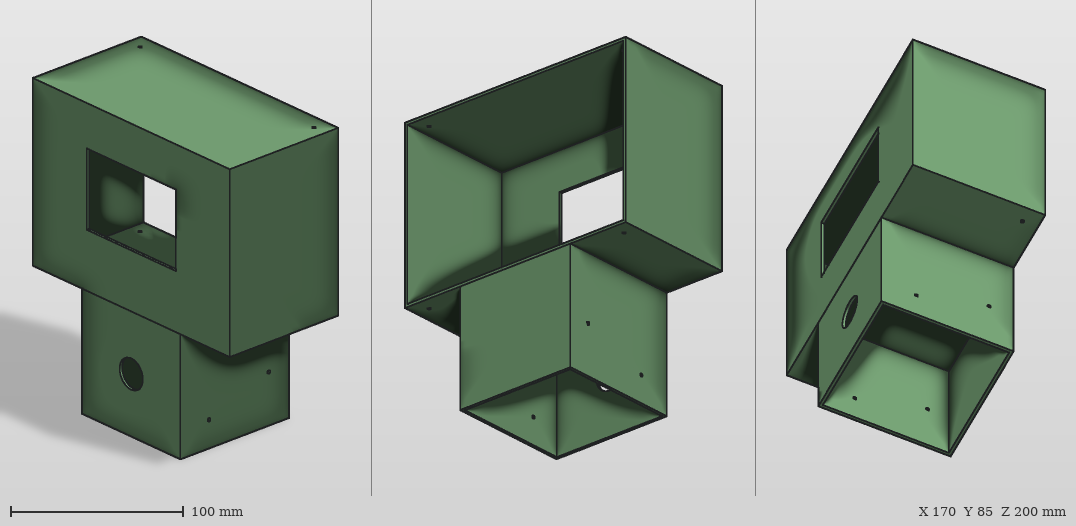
import cadquery as cq

wall = 2.0
screw_hole_diameter = 2.0
depth = 85.0

base_width = 85.0
base_height = 80.0
port_diameter = 20.0
port_height = base_height / 2
base_screw_places = [(26.75, 34.25), (-20.0, 18.25)]

housing_width = 170.0
housing_height = 120.0
window_width = 77.0
window_height = 52.0
window_sill = 39.0
screw_edge_distance = 10.0


def make_base():
    """Box with closed walls and top, a round front port and side screw holes."""
    outside = cq.Workplane("XY").box(base_width, depth, base_height, centered=(True, True, False))
    cavity = cq.Workplane("XY").box(
        base_width - 2 * wall, depth - 2 * wall, base_height - wall, centered=(True, True, False)
    )
    port = (
        cq.Workplane("XZ", origin=(0, -depth / 2 + wall, port_height))
        .circle(port_diameter / 2)
        .extrude(wall)
    )
    screw_holes = (
        cq.Workplane("YZ")
        .pushPoints(base_screw_places)
        .circle(screw_hole_diameter / 2)
        .extrude(base_width / 2, both=True)
    )
    return outside.cut(cavity).cut(port).cut(screw_holes)


def make_housing():
    """Box with an open back, a front window and screw holes through its roof and floor."""
    outside = cq.Workplane("XY").box(housing_width, depth, housing_height, centered=(True, True, False))
    cavity = (
        cq.Workplane("XY")
        .box(housing_width - 2 * wall, depth - wall, housing_height - 2 * wall, centered=(True, True, False))
        .translate((0, wall / 2, wall))
    )
    window = (
        cq.Workplane("XY")
        .box(window_width, wall, window_height, centered=(True, False, False))
        .translate((0, -depth / 2, window_sill))
    )
    screw_x = housing_width / 2 - screw_edge_distance
    screw_y = depth / 2 - screw_edge_distance
    screw_holes = (
        cq.Workplane("XY")
        .pushPoints([(-screw_x, screw_y), (screw_x, screw_y)])
        .circle(screw_hole_diameter / 2)
        .extrude(housing_height)
    )
    return outside.cut(cavity).cut(window).cut(screw_holes)


base = make_base()
housing = make_housing().translate((0, 0, base_height))

result = cq.Compound.makeCompound([base.val(), housing.val()])